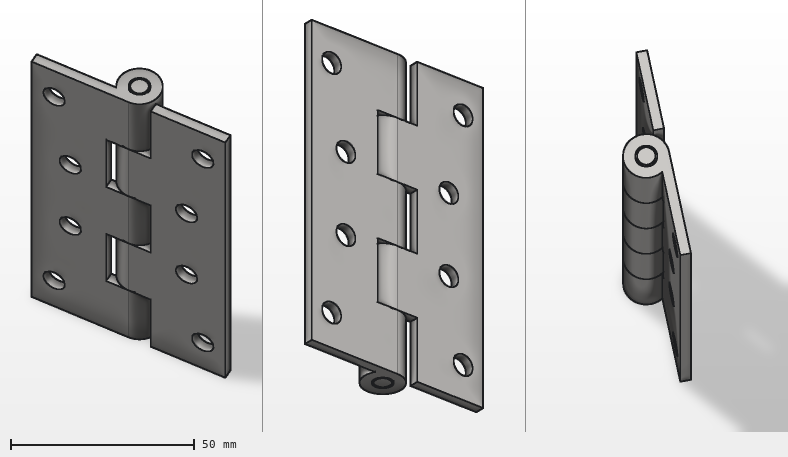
import cadquery as cq

height = 100.0
open_width = 60.0
barrel_diameter = 12.7
leaf_thickness = 3.0

knuckle_count = 5
notch_reach = 6.9

pin_diameter = 6.0
pin_chamfer = 0.5

screw_hole_diameter = 6.6
outer_hole_offset, outer_hole_height = 23.0, 39.0
inner_hole_offset, inner_hole_height = 18.0, 13.0

half_width = open_width / 2
barrel_radius = barrel_diameter / 2
leaf_face_y = -barrel_radius
knuckle_length = height / knuckle_count


def knuckle_base(index):
    """Z of the lower end of a knuckle, counted from the bottom."""
    return -height / 2 + index * knuckle_length


def make_plate(side):
    """Flat part of a leaf, from its outer edge to the notch line; side is -1 for left, +1 for right."""
    plate_width = half_width - notch_reach
    return cq.Workplane("XY").box(plate_width, leaf_thickness, height).translate(
        (side * (notch_reach + plate_width / 2), leaf_face_y + leaf_thickness / 2, 0)
    )


def make_knuckle(side, index):
    """Barrel section with the tongue of plate that runs tangentially into it."""
    base = cq.Workplane("XY", origin=(0, 0, knuckle_base(index)))
    barrel = base.circle(barrel_radius).extrude(knuckle_length)
    tongue = (
        base.center(side * notch_reach / 2, leaf_face_y + leaf_thickness / 2)
        .rect(notch_reach, leaf_thickness)
        .extrude(knuckle_length)
    )
    return barrel.union(tongue)


def make_screw_holes(side):
    """Cutters for the four screw holes of one leaf."""
    centres = []
    for offset, hole_height in (
        (outer_hole_offset, outer_hole_height),
        (inner_hole_offset, inner_hole_height),
    ):
        centres += [(side * offset, hole_height), (side * offset, -hole_height)]
    return (
        cq.Workplane("XZ", origin=(0, leaf_face_y, 0))
        .pushPoints(centres)
        .circle(screw_hole_diameter / 2)
        .extrude(-leaf_thickness)
    )


def make_leaf(side, first_knuckle):
    """Complete leaf carrying every second knuckle, bored for the pin."""
    leaf = make_plate(side)
    for index in range(first_knuckle, knuckle_count, 2):
        leaf = leaf.union(make_knuckle(side, index))
    pin_bore = cq.Workplane("XY").circle(pin_diameter / 2).extrude(height / 2, both=True)
    return leaf.cut(pin_bore).cut(make_screw_holes(side))


def make_pin():
    """Pin flush with the barrel ends, chamfered at both ends."""
    pin = cq.Workplane("XY").circle(pin_diameter / 2).extrude(height / 2, both=True)
    return pin.faces("|Z").edges().chamfer(pin_chamfer)


left_leaf = make_leaf(side=-1, first_knuckle=0)
right_leaf = make_leaf(side=1, first_knuckle=1)
pin = make_pin()

result = cq.Compound.makeCompound([body.solids().val() for body in (left_leaf, right_leaf, pin)])